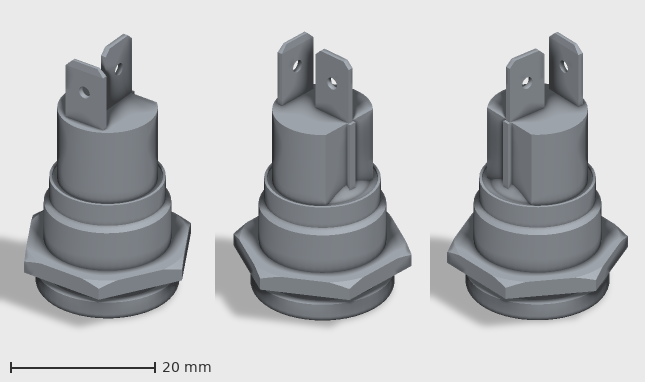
import cadquery as cq
import math

TOTAL_HEIGHT = 38.2

FLANGE_RADIUS = 10.0
FLANGE_TOP = 2.98
FLANGE_FILLET = 1.0
THREAD_RADIUS = 8.85
COLLAR_RADIUS = 8.1
SHOULDER_CHAMFER = THREAD_RADIUS - COLLAR_RADIUS
SHOULDER_TOP = 14.25
COLLAR_TOP = 17.55
RECESS_RADIUS = 7.7
RECESS_DEPTH = 0.35
RECESS_FLOOR = COLLAR_TOP - RECESS_DEPTH

CORE_RADIUS = 7.0
CORE_TOP = 28.57
FLAT_Y = 5.08
CONE_BASE_RADIUS = 6.57
RIB_WIDTH = 1.1
RIB_OUTER_Y = 5.73

NUT_ACROSS_FLATS = 22.0
NUT_BOTTOM = 5.0
NUT_TOP = 7.45
NUT_CHAMFER_RADIUS = 11.55
NUT_CHAMFER_ANGLE = math.radians(30)

BLADE_THICKNESS = 0.8
BLADE_HOLE_DIAMETER = 1.85
UPPER_BLADE_WIDTH = 6.3
UPPER_BLADE_CHAMFER = 0.95
UPPER_BLADE_HOLE_Z = 33.75
UPPER_BLADE_Y = 2.18
SIDE_BLADE_WIDTH = 6.38
SIDE_BLADE_CHAMFER = 1.07
SIDE_BLADE_TOP = 38.05
SIDE_BLADE_HOLE_Z = 33.6
SIDE_BLADE_Y = -5.1
SIDE_BLADE_TIP_BEVEL = 0.15


def cylinder(radius, bottom, top):
    return cq.Workplane("XY").workplane(offset=bottom).circle(radius).extrude(top - bottom)


def make_body():
    flange = cylinder(FLANGE_RADIUS, 0, FLANGE_TOP).faces("<Z").edges().fillet(FLANGE_FILLET)
    thread = cylinder(THREAD_RADIUS, 0, SHOULDER_TOP).faces(">Z").chamfer(SHOULDER_CHAMFER)
    collar = cylinder(COLLAR_RADIUS, 0, COLLAR_TOP)
    recess = cylinder(RECESS_RADIUS, RECESS_FLOOR, COLLAR_TOP)
    return flange.union(thread).union(collar).cut(recess)


def make_core():
    core = cylinder(CORE_RADIUS, RECESS_FLOOR, CORE_TOP)
    core_height = CORE_TOP - RECESS_FLOOR
    beyond_flat = (
        cq.Workplane("XY", origin=(0, CORE_RADIUS, RECESS_FLOOR))
        .rect(2 * CORE_RADIUS, 2 * (CORE_RADIUS - FLAT_Y))
        .extrude(core_height)
    )
    cone = cq.Workplane(
        cq.Solid.makeCone(CONE_BASE_RADIUS, 0, CONE_BASE_RADIUS, pnt=cq.Vector(0, 0, RECESS_FLOOR))
    )
    rib = (
        cq.Workplane("XY", origin=(0, RIB_OUTER_Y / 2, RECESS_FLOOR))
        .rect(RIB_WIDTH, RIB_OUTER_Y)
        .extrude(core_height)
    )
    return core.cut(beyond_flat).union(cone).union(rib)


def make_nut():
    corner_radius = NUT_ACROSS_FLATS / math.sqrt(3)
    hexagon = (
        cq.Workplane("XY")
        .workplane(offset=NUT_BOTTOM)
        .polygon(6, 2 * corner_radius)
        .extrude(NUT_TOP - NUT_BOTTOM)
    )
    corner_drop = (corner_radius - NUT_CHAMFER_RADIUS) * math.tan(NUT_CHAMFER_ANGLE)
    chamfer_envelope = (
        cq.Workplane("XZ")
        .moveTo(0, NUT_BOTTOM)
        .lineTo(corner_radius, NUT_BOTTOM)
        .lineTo(corner_radius, NUT_TOP - corner_drop)
        .lineTo(NUT_CHAMFER_RADIUS, NUT_TOP)
        .lineTo(0, NUT_TOP)
        .close()
        .revolve(360, (0, 0, 0), (0, 1, 0))
    )
    return hexagon.intersect(chamfer_envelope)


def make_blade(width, top, corner_chamfer, hole_z):
    """Flat blade in the XZ plane, centred on the Z axis and rising from the core top."""
    blade = (
        cq.Workplane("XY", origin=(0, 0, CORE_TOP))
        .rect(width, BLADE_THICKNESS)
        .extrude(top - CORE_TOP)
        .edges("|Y and >Z")
        .chamfer(corner_chamfer)
    )
    hole = (
        cq.Workplane("XZ", origin=(0, BLADE_THICKNESS, hole_z))
        .circle(BLADE_HOLE_DIAMETER / 2)
        .extrude(2 * BLADE_THICKNESS)
    )
    return blade.cut(hole)


def bevel_tip(blade):
    """Thin the top of the side blade on both faces."""
    half = BLADE_THICKNESS / 2
    tip_half = half - SIDE_BLADE_TIP_BEVEL
    bevel_start = SIDE_BLADE_TOP - SIDE_BLADE_CHAMFER
    envelope = (
        cq.Workplane("YZ", origin=(-SIDE_BLADE_WIDTH, 0, 0))
        .polyline([
            (-half, CORE_TOP),
            (half, CORE_TOP),
            (half, bevel_start),
            (tip_half, SIDE_BLADE_TOP),
            (-tip_half, SIDE_BLADE_TOP),
            (-half, bevel_start),
        ])
        .close()
        .extrude(2 * SIDE_BLADE_WIDTH)
    )
    return blade.intersect(envelope)


upper_blade = (
    make_blade(UPPER_BLADE_WIDTH, TOTAL_HEIGHT, UPPER_BLADE_CHAMFER, UPPER_BLADE_HOLE_Z)
    .rotate((0, 0, 0), (0, 0, 1), 90)
    .translate((0, UPPER_BLADE_Y, 0))
)
side_blade = bevel_tip(
    make_blade(SIDE_BLADE_WIDTH, SIDE_BLADE_TOP, SIDE_BLADE_CHAMFER, SIDE_BLADE_HOLE_Z)
).translate((0, SIDE_BLADE_Y, 0))

result = make_body().union(make_core()).union(make_nut()).union(upper_blade).union(side_blade)